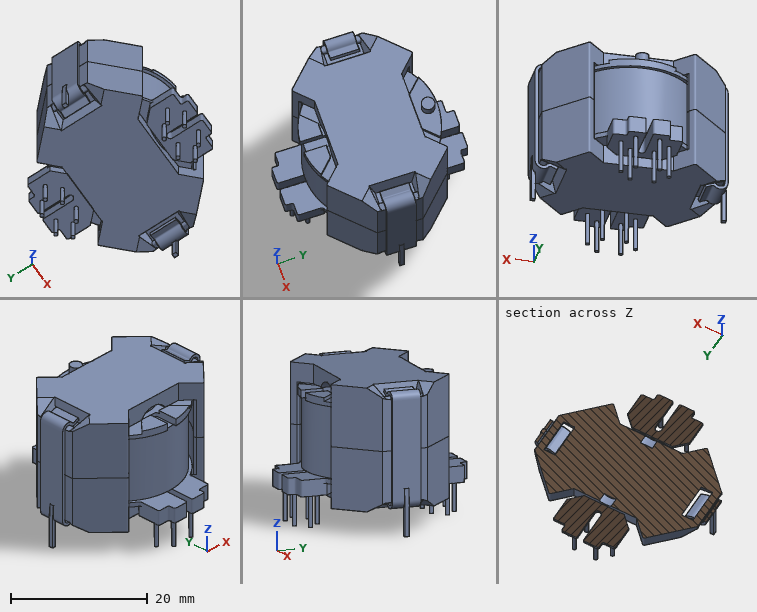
import cadquery as cq
import math


core_height = 9.3
core_half_length = 13.77
core_end_half_width = 3.55
leg_tip_y = 9.38
leg_tip_fillet = 0.3
waist_half_width = 6.72
post_radius = 10.7 / 2
cavity_radius = 10.73
cavity_height = 6.37
leg_gap_inner = (6.93, 8.18)
leg_gap_outer = (7.63, 9.65)
outlet_radius = 3.0
outlet_height = 4.68

corner_slope_start = 6.7
corner_slope = 0.52
seat_floor = 7.45
seat_floor_x = 10.73
seat_top_x = 10.05
seat_floor_half_width = 2.8
seat_top_half_width = 3.57
ridge_foot_x = 12.55
ridge_slope_x = 13.1
ridge_slope_height = 7.98
ridge_edge_height = 7.75
ridge_top = (12.77, 8.0)
ridge_foot_height = 7.63

bore_radius = 10.95 / 2
tube_radius = 6.0
flange_radius = 10.5
upper_flange_bottom = 5.5
upper_flange_top = 6.15
lower_flange_bottom = -6.1
lower_flange_top = -5.35
pad_top = 6.65
pad_inner_y = 7.0
pad_inner_half_width = 2.78
wire_slot_half_width = 0.88
wire_slot_end_y = 6.43
wire_slot_fillet = 0.3
peg_radius = 2.0 / 2
peg_y = 9.0
peg_top = 8.15

block_bottom = -7.85
block_half_width = 5.23
block_nose_half_width = 3.15
block_shoulder_y = 12.9
block_nose_y = 28.2 / 2
block_edge_fillet = 0.3
block_back_half_width = 3.4
block_side_start_y = 8.83
block_root_fillet = 0.35
block_slot_width = 1.02
block_slot_end_y = 8.33
pin_radius = 0.6 / 2
pin_grid = 2.55
pin_step = pin_grid / math.sqrt(2)
pin_bottom = -12.9
pin_places = [(1, 5), (1, 7), (2, 6)]

winding_radius = 20.0 / 2

clip_thickness = 0.5
clip_half_width = 2.25
clip_outer_x = 14.47
clip_top = 8.77
curl_radius = 1.2
curl_end_angle = 49.0
valley_radius = 0.23
lip_angle = 24.0
lip_length = 1.0

ground_pin_outer_x = 14.62
ground_pin_thickness = 0.6
ground_pin_half_width = 0.35
ground_pin_top = -5.7
ground_pin_bend_height = 2.43


def disc(radius, bottom, top):
    """Upright cylinder on the bobbin axis."""
    return cq.Workplane("XY").workplane(offset=bottom).circle(radius).extrude(top - bottom)


def core_plan():
    """Plate outline with four legs that point outward at 45 degrees."""
    leg_tip_x = core_half_length - (leg_tip_y - core_end_half_width)
    waist_corner_x = leg_tip_x - (leg_tip_y - waist_half_width)
    quarter = [
        (core_half_length, core_end_half_width),
        (leg_tip_x, leg_tip_y),
        (waist_corner_x, waist_half_width),
    ]
    left_quarter = [(-x, y) for x, y in reversed(quarter)]
    upper = quarter + left_quarter
    lower = [(-x, -y) for x, y in upper]
    return cq.Workplane("XY").polyline(upper + lower).close()


def leg_tips():
    """Selector for the upright edges at the four leg tips."""
    margin = 0.3
    front, back = [
        cq.selectors.BoxSelector(
            (-core_half_length, y - margin, 0),
            (core_half_length, y + margin, core_height),
        )
        for y in (-leg_tip_y, leg_tip_y)
    ]
    return front + back


def wire_outlet():
    """Round recess in both long edges of the plate, cut as far as the centre post."""
    tunnel = (
        cq.Workplane("XZ")
        .center(0, outlet_height)
        .circle(outlet_radius)
        .extrude(core_half_length, both=True)
    )
    return tunnel.cut(disc(post_radius, 0, core_height))


def leg_gaps():
    """Openings between neighbouring legs, slightly wider at the outside."""
    inner_x, inner_y = leg_gap_inner
    outer_x, outer_y = leg_gap_outer
    gap = (
        cq.Workplane("XY")
        .polyline([(-inner_x, inner_y), (inner_x, inner_y), (outer_x, outer_y), (-outer_x, outer_y)])
        .close()
        .extrude(cavity_height)
    )
    return gap.union(gap.mirror("XZ"))


def corner_cut():
    """Wedge above the plane that slopes diagonally down beside the clip seat, on the +X +Y corner."""
    run = core_half_length
    wedge = (
        cq.Workplane("XZ")
        .polyline([(0, 0), (run, 0), (run, -corner_slope * run)])
        .close()
        .extrude(2 * core_half_length, both=True)
    )
    start = corner_slope_start * math.cos(math.radians(45))
    wedge = wedge.translate((start, 0, core_height)).rotate((0, 0, 0), (0, 0, 1), -45)
    beside_seat = (
        cq.Workplane("XY")
        .polyline(
            [
                (0, seat_top_half_width),
                (seat_top_x, seat_top_half_width),
                (core_half_length, seat_floor_half_width),
                (core_half_length, core_half_length),
            ]
        )
        .close()
        .extrude(core_height)
    )
    return wedge.intersect(beside_seat)


def clip_seat():
    """Flared pocket for the clip end at +X, with the ridge that the clip hooks over."""
    pocket_end = 1.2 * core_half_length
    floor_length = pocket_end - seat_floor_x
    top_length = pocket_end - seat_top_x
    pocket = (
        cq.Workplane("XY")
        .workplane(offset=seat_floor)
        .center(seat_floor_x + floor_length / 2, 0)
        .rect(floor_length, 2 * seat_floor_half_width)
        .workplane(offset=core_height - seat_floor)
        .center((seat_top_x - seat_floor_x) / 2, 0)
        .rect(top_length, 2 * seat_top_half_width)
        .loft(ruled=True)
    )
    ridge = (
        cq.Workplane("XZ")
        .moveTo(ridge_foot_x, seat_floor)
        .lineTo(ridge_foot_x, ridge_foot_height)
        .threePointArc(ridge_top, (ridge_slope_x, ridge_slope_height))
        .lineTo(core_half_length, ridge_edge_height)
        .lineTo(core_half_length, seat_floor)
        .close()
        .extrude(core_half_length, both=True)
    )
    return pocket.cut(ridge)


def core_half():
    """Upper core half: plate, centre post and four legs."""
    core = core_plan().extrude(core_height).edges("|Z").edges(leg_tips()).fillet(leg_tip_fillet)
    core = core.cut(disc(cavity_radius, 0, cavity_height).cut(disc(post_radius, 0, cavity_height)))
    core = core.cut(leg_gaps()).cut(wire_outlet())
    for corner in (corner_cut(), corner_cut().mirror("XZ")):
        core = core.cut(corner).cut(corner.mirror("YZ"))
    seat = clip_seat()
    return core.cut(seat).cut(seat.mirror("YZ"))


def upper_pads():
    """Raised pads on the upper flange, in front and behind the core plate."""
    spread = flange_radius
    outline = [
        (-pad_inner_half_width, pad_inner_y),
        (pad_inner_half_width, pad_inner_y),
        (pad_inner_half_width + spread, pad_inner_y + spread),
        (-pad_inner_half_width - spread, pad_inner_y + spread),
    ]
    pad = (
        cq.Workplane("XY")
        .workplane(offset=upper_flange_bottom)
        .polyline(outline)
        .close()
        .extrude(pad_top - upper_flange_bottom)
        .intersect(disc(flange_radius, upper_flange_bottom, pad_top))
    )
    return pad.union(pad.mirror("XZ"))


def wire_slot():
    """Slot with rounded inner corners through the front of the upper flange."""
    slot_length = flange_radius - wire_slot_end_y
    return (
        cq.Workplane("XY")
        .workplane(offset=upper_flange_bottom)
        .center(0, -wire_slot_end_y - slot_length / 2)
        .rect(2 * wire_slot_half_width, slot_length)
        .extrude(pad_top - upper_flange_bottom)
        .edges("|Z and >Y")
        .fillet(wire_slot_fillet)
    )


def terminal_block():
    """Stepped block at +Y, before its slot is cut."""
    right = [
        (block_back_half_width, pad_inner_y),
        (block_half_width, block_side_start_y),
        (block_half_width, block_shoulder_y),
        (block_nose_half_width, block_shoulder_y),
        (block_nose_half_width, block_nose_y),
    ]
    left = [(-x, y) for x, y in reversed(right)]
    block = (
        cq.Workplane("XY")
        .workplane(offset=block_bottom)
        .polyline(right + left)
        .close()
        .extrude(lower_flange_top - block_bottom)
    )
    margin = 0.3
    outer_edges = cq.selectors.BoxSelector(
        (-block_half_width - margin, block_shoulder_y - margin, block_bottom),
        (block_half_width + margin, block_nose_y + margin, lower_flange_top),
    )
    return block.edges("|Z").edges(outer_edges).fillet(block_edge_fillet)


def block_slot():
    """Round-ended slot that splits a terminal block, with rounded edges at its mouth."""
    slot_radius = block_slot_width / 2
    mouth_x = slot_radius + block_edge_fillet
    mouth_y = block_nose_y - block_edge_fillet
    mouth_turn = block_edge_fillet * math.cos(math.radians(45))
    return (
        cq.Workplane("XY")
        .workplane(offset=block_bottom)
        .moveTo(mouth_x, block_nose_y)
        .threePointArc((mouth_x - mouth_turn, mouth_y + mouth_turn), (slot_radius, mouth_y))
        .lineTo(slot_radius, block_slot_end_y + slot_radius)
        .threePointArc((0, block_slot_end_y), (-slot_radius, block_slot_end_y + slot_radius))
        .lineTo(-slot_radius, mouth_y)
        .threePointArc((mouth_turn - mouth_x, mouth_y + mouth_turn), (-mouth_x, block_nose_y))
        .close()
        .extrude(lower_flange_top - block_bottom)
    )


def block_roots():
    """Selector for the edges where the lower flange rim meets the sides of the terminal blocks."""
    root_y = math.sqrt(flange_radius**2 - block_half_width**2)
    middle_z = (lower_flange_bottom + lower_flange_top) / 2
    margin = 0.1
    corners = [
        cq.selectors.BoxSelector(
            (x - margin, y - margin, middle_z - margin),
            (x + margin, y + margin, middle_z + margin),
        )
        for x in (-block_half_width, block_half_width)
        for y in (-root_y, root_y)
    ]
    return corners[0] + corners[1] + corners[2] + corners[3]


def terminal_pins():
    """Six round pins under each terminal block."""
    points = [
        (side * column * pin_step, end * row * pin_step)
        for column, row in pin_places
        for side in (-1, 1)
        for end in (-1, 1)
    ]
    return (
        cq.Workplane("XY")
        .workplane(offset=pin_bottom)
        .pushPoints(points)
        .circle(pin_radius)
        .extrude(block_bottom - pin_bottom)
    )


def lower_flange():
    """Flange with a terminal block at each end, blended into the flange rim."""
    flange = disc(flange_radius, lower_flange_bottom, lower_flange_top)
    block = terminal_block()
    slot = block_slot()
    flange = flange.union(block).union(block.mirror("XZ"))
    flange = flange.edges("|Z").edges(block_roots()).fillet(block_root_fillet)
    return flange.cut(slot).cut(slot.mirror("XZ"))


def bobbin_body():
    """Tube, two flanges, peg, terminal blocks and pins, moulded as one."""
    peg = disc(peg_radius, upper_flange_top, peg_top).translate((0, peg_y, 0))
    body = disc(tube_radius, lower_flange_bottom, upper_flange_top)
    body = body.union(disc(flange_radius, upper_flange_bottom, upper_flange_top))
    body = body.union(upper_pads()).cut(wire_slot()).union(peg)
    body = body.union(lower_flange()).union(terminal_pins())
    return body.cut(disc(bore_radius, lower_flange_bottom, upper_flange_top))


def winding_ring():
    """Coil that fills the space between the flanges."""
    return disc(winding_radius, lower_flange_top, upper_flange_bottom).cut(
        disc(tube_radius, lower_flange_top, upper_flange_bottom)
    )


def polar(center, radius, angle):
    """Point at an angle in degrees, counted from +Z toward -X."""
    turn = math.radians(angle)
    return (center[0] - radius * math.sin(turn), center[1] + radius * math.cos(turn))


def clip_half():
    """Upper half of the +X clip: strap, curl over the core edge, valley and raised lip."""
    curl_center = (clip_outer_x - curl_radius, clip_top - curl_radius)
    curl_inner = curl_radius - clip_thickness
    valley_center = polar(curl_center, curl_radius + valley_radius, curl_end_angle)
    valley_outer = valley_radius + clip_thickness
    valley_start = 180 + curl_end_angle
    valley_end = 180 - lip_angle
    valley_middle = (valley_start + valley_end) / 2
    curl_middle = (curl_end_angle - 90) / 2
    lip_turn = math.radians(lip_angle)
    lip_x = -lip_length * math.cos(lip_turn)
    lip_z = lip_length * math.sin(lip_turn)
    lip_upper = polar(valley_center, valley_radius, valley_end)
    lip_lower = polar(valley_center, valley_outer, valley_end)
    return (
        cq.Workplane("XZ")
        .moveTo(clip_outer_x, 0)
        .lineTo(clip_outer_x, curl_center[1])
        .threePointArc(
            polar(curl_center, curl_radius, curl_middle),
            polar(curl_center, curl_radius, curl_end_angle),
        )
        .threePointArc(polar(valley_center, valley_radius, valley_middle), lip_upper)
        .lineTo(lip_upper[0] + lip_x, lip_upper[1] + lip_z)
        .lineTo(lip_lower[0] + lip_x, lip_lower[1] + lip_z)
        .lineTo(*lip_lower)
        .threePointArc(
            polar(valley_center, valley_outer, valley_middle),
            polar(curl_center, curl_inner, curl_end_angle),
        )
        .threePointArc(
            polar(curl_center, curl_inner, curl_middle),
            polar(curl_center, curl_inner, -90),
        )
        .lineTo(clip_outer_x - clip_thickness, 0)
        .close()
        .extrude(clip_half_width, both=True)
    )


def ground_pin():
    """Flat pin at +X that starts flush with the strap and steps outward in an S-bend."""
    step = ground_pin_outer_x - clip_outer_x
    bend_radius = (step**2 + ground_pin_bend_height**2) / (4 * step)
    bend_middle_z = ground_pin_top - ground_pin_bend_height / 2
    bend_end_z = ground_pin_top - ground_pin_bend_height
    top_inner_x = clip_outer_x - ground_pin_thickness
    bottom_inner_x = ground_pin_outer_x - ground_pin_thickness
    return (
        cq.Workplane("XZ")
        .moveTo(clip_outer_x, ground_pin_top)
        .radiusArc((clip_outer_x + step / 2, bend_middle_z), -bend_radius)
        .radiusArc((ground_pin_outer_x, bend_end_z), bend_radius)
        .lineTo(ground_pin_outer_x, pin_bottom)
        .lineTo(bottom_inner_x, pin_bottom)
        .lineTo(bottom_inner_x, bend_end_z)
        .radiusArc((top_inner_x + step / 2, bend_middle_z), -bend_radius)
        .radiusArc((top_inner_x, ground_pin_top), bend_radius)
        .close()
        .extrude(ground_pin_half_width, both=True)
    )


def clip():
    """Clip at +X with a slot that the ground pin fills."""
    upper = clip_half()
    return upper.union(upper.mirror("XY")).cut(ground_pin())


upper_core = core_half()
lower_core = upper_core.mirror("XY")
bobbin = bobbin_body()
winding = winding_ring()
clips = [clip().rotate((0, 0, 0), (0, 0, 1), angle) for angle in (0, 180)]
ground_pins = [ground_pin().rotate((0, 0, 0), (0, 0, 1), angle) for angle in (0, 180)]

result = cq.Compound.makeCompound(
    [upper_core.val(), lower_core.val(), bobbin.val(), winding.val()]
    + [body.val() for body in clips + ground_pins]
)